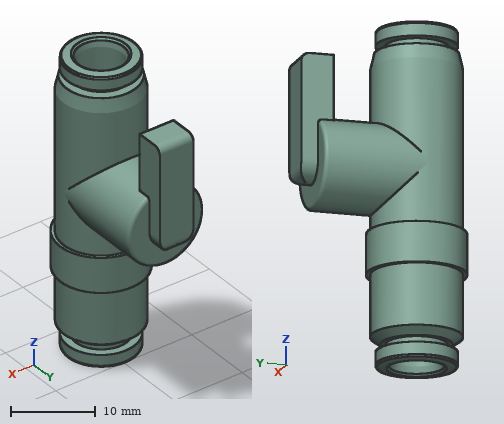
import cadquery as cq

total_height = 41.5
body_radius = 11.0 / 2
band_radius = 12.0 / 2
band_bottom = 11.5
band_height = 5.0

flange_radius = 9.8 / 2
flange_height = 1.95
flange_chamfer_width = 0.15
flange_chamfer_height = 0.25
face_slope_height = 0.15
neck_radius = 7.43 / 2
neck_height = 1.0
shoulder_offset = flange_height + neck_height

top_taper_radius = 5.05
top_taper_height = 1.85
bottom_taper_radius = 4.27
bottom_taper_height = 0.9

passage_radius = 4.0 / 2
socket_radius = 6.2 / 2
socket_depth = 14.95
mouth_radius = 3.55
mouth_chamfer = 0.3
mouth_depth = 1.1

branch_height = 24.03
branch_length = 12.95
branch_rounding = 0.5
lever_width = 5.0
lever_inner_y = 11.0
lever_outer_y = 21.0 - band_radius
lever_top = 36.98
lever_top_rounding = 1.0
lever_bottom_rounding = 1.5


def cylinder(radius, bottom, height):
    return cq.Workplane("XY").workplane(offset=bottom).circle(radius).extrude(height)


def revolve_profile(profile):
    """Turn a closed (radius, height) outline about the Z axis."""
    return cq.Workplane("XZ").polyline(profile).close().revolve(360, (0, 0), (0, 1))


def make_body():
    """Turned body with tapered ends and a raised band."""
    bottom = shoulder_offset
    top = total_height - shoulder_offset
    profile = [
        (0, bottom),
        (bottom_taper_radius, bottom),
        (body_radius, bottom + bottom_taper_height),
        (body_radius, top - top_taper_height),
        (top_taper_radius, top),
        (0, top),
    ]
    body = revolve_profile(profile)
    return body.union(cylinder(band_radius, band_bottom, band_height))


def make_sleeve():
    """Neck and flange of the top end, with a chamfered rim and a slightly conical end face."""
    rim_top = total_height - face_slope_height
    neck_top = total_height - flange_height
    neck_bottom = neck_top - neck_height
    profile = [
        (0, neck_bottom),
        (neck_radius, neck_bottom),
        (neck_radius, neck_top),
        (flange_radius, neck_top),
        (flange_radius, rim_top - flange_chamfer_height),
        (flange_radius - flange_chamfer_width, rim_top),
        (mouth_radius, total_height),
        (0, total_height),
    ]
    return revolve_profile(profile)


def make_socket():
    """Cavity of the top tube socket: chamfered, slightly conical mouth and straight bore."""
    throat_radius = mouth_radius - mouth_chamfer
    profile = [
        (0, total_height),
        (mouth_radius, total_height),
        (throat_radius, total_height - mouth_chamfer),
        (socket_radius, total_height - mouth_depth),
        (socket_radius, total_height - socket_depth),
        (0, total_height - socket_depth),
    ]
    return revolve_profile(profile)


def at_other_end(shape):
    """Mirror a top end feature to the bottom end."""
    return shape.mirror("XY", (0, 0, total_height / 2))


def make_branch():
    branch = cq.Workplane("XZ").center(0, branch_height).circle(body_radius).extrude(-branch_length)
    return branch.faces(">Y").edges().fillet(branch_rounding)


def make_lever():
    """Upright lever, half round below the branch axis, outer top and bottom edges rounded."""
    half_width = lever_width / 2
    front = (
        cq.Workplane("XZ", origin=(0, lever_inner_y, branch_height))
        .moveTo(-half_width, 0)
        .threePointArc((0, -half_width), (half_width, 0))
        .lineTo(half_width, lever_top - branch_height)
        .lineTo(-half_width, lever_top - branch_height)
        .close()
        .extrude(lever_inner_y - lever_outer_y)
    )
    lever_bottom = branch_height - half_width
    side = cq.Workplane("XY").box(
        lever_width,
        lever_outer_y - lever_inner_y,
        lever_top - lever_bottom,
        centered=(True, False, False),
    )
    side = side.translate((0, lever_inner_y, lever_bottom))
    side = side.faces(">Y").edges(">Z").fillet(lever_top_rounding)
    side = side.faces(">Y").edges("<Z").fillet(lever_bottom_rounding)
    return front.intersect(side)


sleeve = make_sleeve()
socket = make_socket()

result = make_body().union(make_branch()).union(make_lever())
result = result.union(sleeve).union(at_other_end(sleeve))
result = result.cut(socket).cut(at_other_end(socket))
result = result.cut(cylinder(passage_radius, 0, total_height))